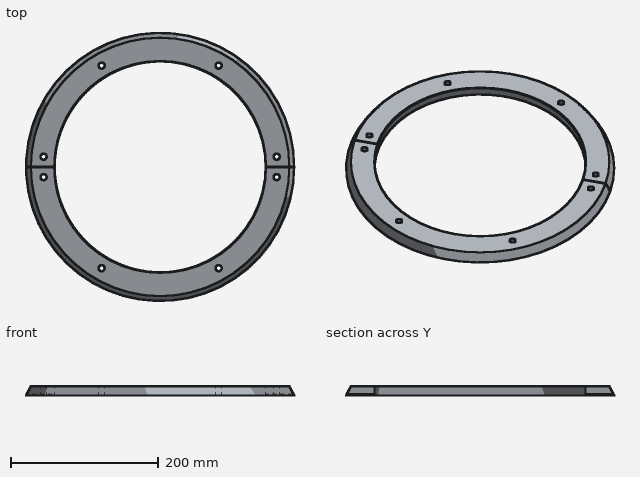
import cadquery as cq

outer_diameter = 363.7
height = 12.7
top_diameter = 350.3
bore_diameter = 286.0
bore_chamfer = 0.7
rim_height = 0.5

hole_diameter = 8.0
hole_circle_radius = 158.5
hole_angles = (5.0, 60.0)

groove_width = 1.0
groove_floor = 2.2


def ring_body():
    """Revolve the ring section: short upright rim, sloped outside, bore with a chamfered top edge."""
    bore_radius = bore_diameter / 2
    outer_radius = outer_diameter / 2
    section = (
        cq.Workplane("XZ")
        .moveTo(bore_radius, 0)
        .lineTo(outer_radius, 0)
        .lineTo(outer_radius, rim_height)
        .lineTo(top_diameter / 2, height)
        .lineTo(bore_radius + bore_chamfer, height)
        .lineTo(bore_radius, height - bore_chamfer)
        .close()
    )
    return section.revolve(360, (0, 0, 0), (0, 1, 0))


def mounting_holes():
    """Through holes at each angle, mirrored about both centre lines."""
    holes = cq.Workplane("XY")
    for angle in hole_angles:
        for direction in (angle, 180 - angle, 180 + angle, -angle):
            hole = (
                cq.Workplane("XY")
                .transformed(rotate=(0, 0, direction))
                .center(hole_circle_radius, 0)
                .circle(hole_diameter / 2)
                .extrude(height)
            )
            holes = holes.add(hole)
    return holes.combine()


def split_groove():
    """Narrow groove along X, leaving a thin web at the bottom."""
    return (
        cq.Workplane("XY")
        .workplane(offset=groove_floor)
        .rect(outer_diameter, groove_width)
        .extrude(height - groove_floor)
    )


result = ring_body().cut(mounting_holes()).cut(split_groove())